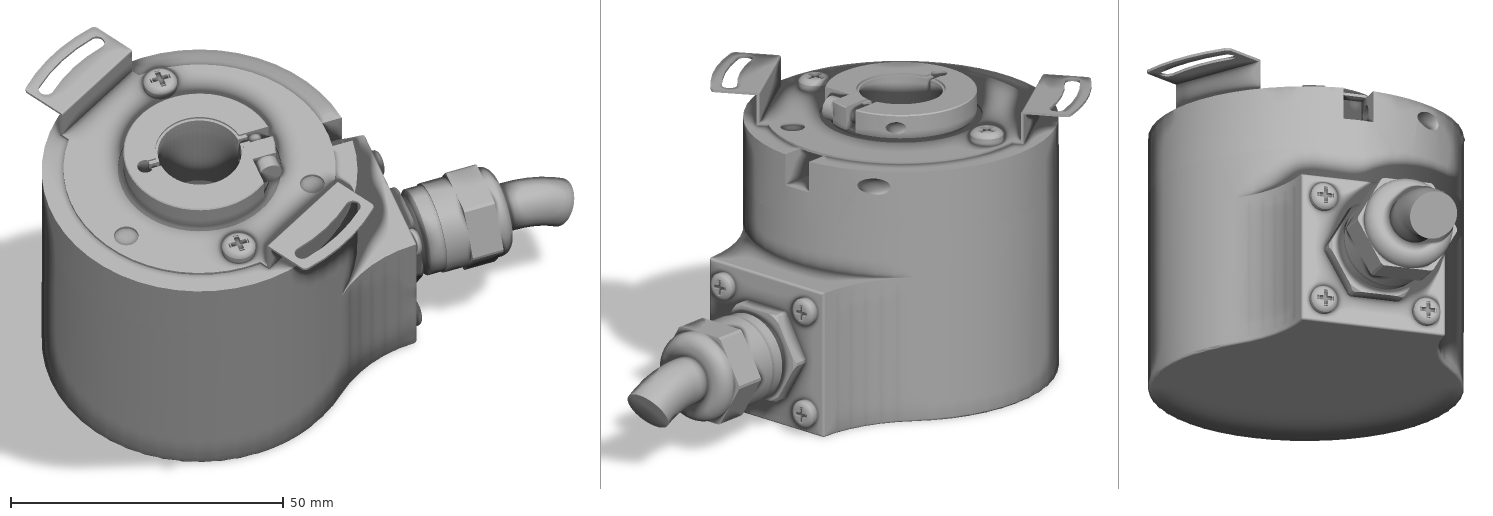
import cadquery as cq
import math


body_radius = 29.0
cap_height = 37.0
cap_base_round = 0.4
flange_top = 49.0

outlet_half_width = 14.0
outlet_face_y = 37.4
outlet_height = 28.3
outlet_face_round = 0.5
gland_z = 14.0

notch_width = 5.8
notch_inner_y = 22.5
notch_floor = 43.0
cross_hole_diameter = 3.2
cross_hole_y = 24.6
cross_hole_z = (notch_floor + flange_top) / 2

sleeve_radius = 9.6
bore_radius = 7.7
sleeve_top = 54.1
sleeve_slit_width = 1.0
sleeve_slit_floor = 48.3
hub_neck_radius = 13.1
hub_neck_top = 50.0
collar_radius = 14.0
collar_lip_radius = 8.2
collar_top = 54.5
collar_chamfer = 0.2
clamp_slit_width = 2.4
relief_hole_diameter = 3.0
relief_hole_y = -10.6
clamp_pocket_x = 5.1
clamp_pocket_y = 8.5
clamp_screw_y = 11.0
clamp_screw_z = 52.0
clamp_hole_diameter = 2.3
clamp_shank_diameter = 3.0
clamp_head_diameter = 4.5
clamp_head_length = 2.5

sheet = 0.5
plate_top = flange_top + sheet
plate_radius = 25.0
plate_opening_radius = 15.0
fixing_radius = 21.0
spare_hole_diameter = 4.5
spare_hole_angles = (60, -60)
tab_angles = (30, 210)
tab_width = 20.0
tab_wall_outer = 25.0
tab_top = 55.5
tab_outer_radius = 35.0
tab_corner_round = 1.0
tab_bend_round = 0.4
slot_radius = 31.5
slot_width = 2.8
slot_half_angle = 13.3

plate_screw_diameter = 6.2
plate_screw_height = 2.3
plate_screw_angles = (0, 180)
outlet_screw_diameter = 5.1
outlet_screw_height = 1.85
outlet_screw_spacing = 20.0
cross_length_ratio = 0.62
cross_arm_ratio = 0.16
head_rim_ratio = 0.6
crown_ratio = 0.5
shoulder_radius_ratio = 0.82
shoulder_height_ratio = 0.88
cross_depth_ratio = 0.45

gland_flats = 17.0
gland_corner_diameter = 19.3
lock_nut_end = 40.4
lock_nut_chamfer = 0.5
neck_diameter = 14.1
neck_end = 41.6
sleeve_taper_end = 42.3
inner_sleeve_diameter = 16.4
inner_sleeve_end = 45.3
outer_sleeve_diameter = 17.0
outer_sleeve_end = 49.9
gland_nut_end = 55.9
dome_end = 58.8
dome_round = 2.3

cable_diameter = 9.0
cable_bend_start = 60.5
cable_bend_radius = 18.0
cable_bend_angle = 33.0


def cylinder(radius, z_low, z_high):
    return cq.Workplane("XY").workplane(offset=z_low).circle(radius).extrude(z_high - z_low)


def block(x_range, y_range, z_range):
    lows, highs = zip(x_range, y_range, z_range)
    sizes = [high - low for low, high in zip(lows, highs)]
    return cq.Workplane("XY").box(*sizes, centered=False).translate(lows)


def gland_plane(y):
    """Plane across the gland axis at station y, facing +Y."""
    return cq.Workplane(cq.Plane(origin=(0, y, gland_z), xDir=(1, 0, 0), normal=(0, 1, 0)))


def cross_head(diameter, height):
    """Domed screw head standing on z = 0, with a cross recess in its top."""
    radius = diameter / 2
    rim = height * head_rim_ratio
    crown = radius * crown_ratio
    shoulder = (radius * shoulder_radius_ratio, height * shoulder_height_ratio)
    head = (
        cq.Workplane("XZ")
        .lineTo(radius, 0)
        .lineTo(radius, rim)
        .threePointArc(shoulder, (crown, height))
        .lineTo(0, height)
        .close()
        .revolve(360, (0, 0, 0), (0, 1, 0))
    )
    length = diameter * cross_length_ratio
    arm = diameter * cross_arm_ratio
    depth = height * cross_depth_ratio
    recess_floor = cq.Workplane("XY").workplane(offset=height - depth)
    return head.cut(recess_floor.rect(length, arm).extrude(depth)).cut(
        recess_floor.rect(arm, length).extrude(depth)
    )


def outlet_block():
    """Block whose sides flare in arcs tangent to the round cap."""
    flare_radius = (outlet_half_width**2 + outlet_face_y**2 - body_radius**2) / (
        2 * (body_radius - outlet_half_width)
    )
    center_x = outlet_half_width + flare_radius
    tangent_angle = math.atan2(outlet_face_y, center_x)
    tangent_x = body_radius * math.cos(tangent_angle)
    tangent_y = body_radius * math.sin(tangent_angle)
    mid_x = center_x - flare_radius * math.cos(tangent_angle / 2)
    mid_y = outlet_face_y - flare_radius * math.sin(tangent_angle / 2)
    return (
        cq.Workplane("XY")
        .moveTo(outlet_half_width, outlet_face_y)
        .threePointArc((mid_x, mid_y), (tangent_x, tangent_y))
        .lineTo(0, 0)
        .lineTo(-tangent_x, tangent_y)
        .threePointArc((-mid_x, mid_y), (-outlet_half_width, outlet_face_y))
        .close()
        .extrude(outlet_height)
        .faces(">Y")
        .edges(">Z or |Z")
        .fillet(outlet_face_round)
    )


def gland_disc(diameter, y_low, y_high):
    return gland_plane(y_low).circle(diameter / 2).extrude(y_high - y_low)


def gland_hexagon(y_low, y_high):
    """Hexagon with flats facing +Z and -Z and its corners turned down."""
    across_corners = gland_flats / math.cos(math.pi / 6)
    hexagon = gland_plane(y_low).polygon(6, across_corners).extrude(y_high - y_low)
    return hexagon.intersect(gland_disc(gland_corner_diameter, y_low, y_high))


def cable_gland():
    lock_nut_blank = gland_disc(gland_corner_diameter, outlet_face_y, lock_nut_end)
    lock_nut_blank = lock_nut_blank.faces(">Y").chamfer(lock_nut_chamfer)
    lock_nut = gland_hexagon(outlet_face_y, lock_nut_end).intersect(lock_nut_blank)
    taper = (
        gland_plane(neck_end)
        .circle(neck_diameter / 2)
        .workplane(offset=sleeve_taper_end - neck_end)
        .circle(inner_sleeve_diameter / 2)
        .loft()
    )
    dome = gland_disc(outer_sleeve_diameter, gland_nut_end, dome_end).faces(">Y").edges().fillet(dome_round)
    return (
        lock_nut
        .union(gland_disc(neck_diameter, lock_nut_end, neck_end))
        .union(taper)
        .union(gland_disc(inner_sleeve_diameter, sleeve_taper_end, inner_sleeve_end))
        .union(gland_disc(outer_sleeve_diameter, inner_sleeve_end, outer_sleeve_end))
        .union(gland_hexagon(outer_sleeve_end, gland_nut_end))
        .union(dome)
    )


def cable():
    """Straight run out of the gland followed by a downward bend."""
    straight = gland_disc(cable_diameter, dome_end, cable_bend_start)
    bend = (
        gland_plane(cable_bend_start)
        .circle(cable_diameter / 2)
        .revolve(cable_bend_angle, (1, cable_bend_radius, 0), (-1, cable_bend_radius, 0))
    )
    return straight.union(bend)


def make_cap():
    """Cap with its cable outlet, outlet screws, gland and cable."""
    cap = cylinder(body_radius, 0, cap_height).union(outlet_block())
    cap = cap.faces("<Z").edges().fillet(cap_base_round)
    outlet_screw = cross_head(outlet_screw_diameter, outlet_screw_height).rotate((0, 0, 0), (1, 0, 0), -90)
    offset = outlet_screw_spacing / 2
    for x in (-offset, offset):
        for z in (gland_z - offset, gland_z + offset):
            cap = cap.union(outlet_screw.translate((x, outlet_face_y, z)))
    return cap.union(cable_gland()).union(cable())


def make_flange():
    flange = cylinder(body_radius, cap_height, flange_top)
    flange = flange.cut(cylinder(sleeve_radius, cap_height, flange_top))
    half_notch = notch_width / 2
    notch = block((-half_notch, half_notch), (notch_inner_y, body_radius), (notch_floor, flange_top))
    cross_hole = (
        cq.Workplane("YZ")
        .center(cross_hole_y, cross_hole_z)
        .circle(cross_hole_diameter / 2)
        .extrude(-body_radius)
    )
    return flange.cut(notch).cut(cross_hole)


def clamp_cylinder(diameter, x_low, x_high):
    """Round length along the clamp screw axis."""
    plane = cq.Plane(origin=(x_low, clamp_screw_y, clamp_screw_z), xDir=(0, 1, 0), normal=(1, 0, 0))
    return cq.Workplane(plane).circle(diameter / 2).extrude(x_high - x_low)


def make_hub():
    """Sleeve and slit collar with the clamp screw across the slit."""
    collar = cylinder(collar_radius, hub_neck_top, collar_top).faces(">Z").edges().chamfer(collar_chamfer)
    half_slit = clamp_slit_width / 2
    collar_span = (hub_neck_top, collar_top)
    collar = collar.cut(block((-half_slit, half_slit), (relief_hole_y, collar_radius), collar_span))
    collar = collar.cut(cylinder(relief_hole_diameter / 2, *collar_span).translate((0, relief_hole_y, 0)))
    pocket = block((clamp_pocket_x, collar_radius), (clamp_pocket_y, collar_radius), collar_span)
    clamp_hole = clamp_cylinder(clamp_hole_diameter, -collar_radius, 0)
    collar = collar.cut(cylinder(collar_lip_radius, *collar_span)).cut(pocket).cut(clamp_hole)

    sleeve = cylinder(sleeve_radius, cap_height, sleeve_top)
    hub = collar.union(sleeve).union(cylinder(hub_neck_radius, flange_top, hub_neck_top))
    hub = hub.cut(cylinder(bore_radius, cap_height, sleeve_top))
    half_sleeve_slit = sleeve_slit_width / 2
    hub = hub.cut(
        block(
            (-half_sleeve_slit, half_sleeve_slit),
            (-sleeve_radius, sleeve_radius),
            (sleeve_slit_floor, sleeve_top),
        )
    )
    hub = hub.union(clamp_cylinder(clamp_shank_diameter, -half_slit, clamp_pocket_x))
    return hub.union(clamp_cylinder(clamp_head_diameter, clamp_pocket_x, clamp_pocket_x + clamp_head_length))


def spring_tab():
    """Upright wall and slotted top of the tab that points along +X."""
    half_width = tab_width / 2
    wall_inner = tab_wall_outer - sheet
    wall = block((wall_inner, tab_wall_outer), (-half_width, half_width), (flange_top, tab_top))
    top_span = (tab_top - sheet, tab_top)
    top = block((wall_inner, tab_outer_radius), (-half_width, half_width), top_span)
    top = top.intersect(cylinder(tab_outer_radius, *top_span))
    top = top.edges("|Z").edges(">X").fillet(tab_corner_round)

    def slot_point(radius, degrees):
        angle = math.radians(degrees)
        return (radius * math.cos(angle), radius * math.sin(angle))

    inner = slot_radius - slot_width / 2
    outer = slot_radius + slot_width / 2
    slot = (
        cq.Workplane("XY")
        .workplane(offset=tab_top - sheet)
        .moveTo(*slot_point(inner, -slot_half_angle))
        .threePointArc((inner, 0), slot_point(inner, slot_half_angle))
        .tangentArcPoint(slot_point(outer, slot_half_angle), relative=False)
        .threePointArc((outer, 0), slot_point(outer, -slot_half_angle))
        .tangentArcPoint(slot_point(inner, -slot_half_angle), relative=False)
        .close()
        .extrude(sheet)
    )
    bend_edge = cq.selectors.NearestToPointSelector((wall_inner, 0, tab_top))
    return wall.union(top.cut(slot)).edges("|Y").edges(bend_edge).fillet(tab_bend_round)


def make_spring_plate():
    plate = cylinder(plate_radius, flange_top, plate_top)
    tab_reach = 2 * tab_wall_outer
    strip = cq.Workplane("XY").workplane(offset=flange_top).rect(tab_reach, tab_width).extrude(sheet)
    plate = plate.union(strip.rotate((0, 0, 0), (0, 0, 1), tab_angles[0]))
    for angle in tab_angles:
        plate = plate.union(spring_tab().rotate((0, 0, 0), (0, 0, 1), angle))
    plate = plate.cut(cylinder(plate_opening_radius, flange_top, plate_top))
    for angle in spare_hole_angles:
        hole = cylinder(spare_hole_diameter / 2, flange_top, plate_top).translate((fixing_radius, 0, 0))
        plate = plate.cut(hole.rotate((0, 0, 0), (0, 0, 1), angle))
    return plate


def make_plate_screw(angle):
    """Fixing screw head seated on the spring plate."""
    x = fixing_radius * math.cos(math.radians(angle))
    y = fixing_radius * math.sin(math.radians(angle))
    return cross_head(plate_screw_diameter, plate_screw_height).translate((x, y, plate_top))


cap = make_cap()
flange = make_flange()
hub = make_hub()
spring_plate = make_spring_plate()
plate_screws = [make_plate_screw(angle) for angle in plate_screw_angles]

result = cq.Compound.makeCompound(
    [cap.val(), flange.val(), hub.val(), spring_plate.val(), *[screw.val() for screw in plate_screws]]
)